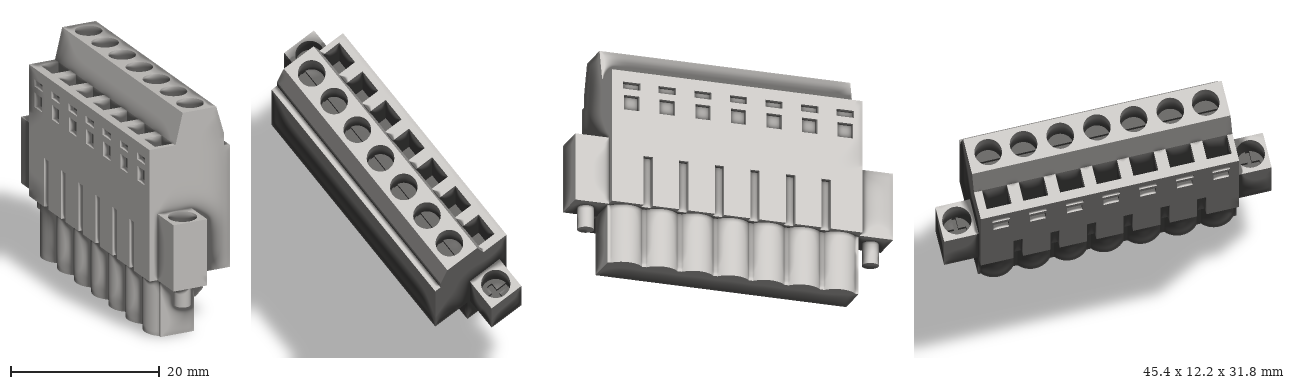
import cadquery as cq

POLES = 7
PITCH = 5.1

BODY_WIDTH = 35.8
BODY_DEPTH = 12.2
BODY_TOP = 23.5
FRONT_SHOULDER_Z = 19.0
FRONT_SLOPE_FOOT_Y = 3.95
FRONT_SLOPE_TOP_Y = 5.05
REAR_SLOPE_TOP_Y = 10.1
REAR_SLOPE_FOOT_Y = 11.3
REAR_SLOPE_FOOT_Z = 19.4
REAR_LEDGE_Z = 17.6

PLUG_HEIGHT = 8.3
PLUG_BACK_Y = 6.7
PLUG_WALL_Y = 1.7
LOBE_FRONT_Y = 0.7
LOBE_GAP = 0.6

GROOVE_WIDTH = 1.3
GROOVE_HEIGHT = 7.05
GROOVE_DEPTH = 0.85

OPENING_OFFSET_X = 0.2
OPENING_WIDTH = 3.45
OPENING_FRONT_Y = 1.22
OPENING_DEPTH = 9.05
WINDOW_DEPTH = 0.85
SLIT_WIDTH = 2.45
SLIT_BOTTOM_Z = 16.4
SLIT_HEIGHT = 1.0
WINDOW_WIDTH = 2.18
WINDOW_BOTTOM_Z = 13.43
WINDOW_HEIGHT = 2.1

LATCH_WIDTH = (POLES - 1) * PITCH
LATCH_BACK_Y = 10.15
LATCH_FRONT_Y = 8.35
LATCH_HOOK_Y = 7.95
LATCH_TIP_Y = 8.07
LATCH_HEEL_Y = 9.45
LATCH_NECK_DROP = 3.0
LATCH_HEEL_DROP = 3.5
LATCH_HOOK_DROP = 3.7
LATCH_TIP_DROP = 4.5

CLAMP_DIAMETER = 3.7
CLAMP_Y = (FRONT_SLOPE_TOP_Y + REAR_SLOPE_TOP_Y) / 2
END_CLAMP_INSET = 0.2
CLAMP_RECESS = 4.55
CLAMP_LENGTH = 4.55
CLAMP_SLOT_WIDTH = 0.7
CLAMP_SLOT_DEPTH = 0.7

OVERALL_WIDTH = 45.35
FLANGE_FRONT_Y = 1.22
FLANGE_DEPTH = 5.1
FLANGE_HEIGHT = 9.55
FLANGE_SCREW_X = 20.3
FLANGE_SCREW_Y = FLANGE_FRONT_Y + FLANGE_DEPTH / 2
HEAD_DIAMETER = 3.95
HEAD_RECESS = 4.55
HEAD_HEIGHT = 1.8
SHANK_DIAMETER = 2.25
SHANK_REACH = 3.15
LONG_SLOT_WIDTH = 0.6
SHORT_SLOT_WIDTH = 0.8
SHORT_SLOT_LENGTH = 2.8
CROSS_SLOT_DEPTH = 0.7

POLE_XS = [(i - (POLES - 1) / 2) * PITCH for i in range(POLES)]
GAP_XS = [x + PITCH / 2 for x in POLE_XS[:-1]]
CLAMP_XS = [POLE_XS[0] + END_CLAMP_INSET, *POLE_XS[1:-1], POLE_XS[-1] - END_CLAMP_INSET]
FLANGE_SCREW_XS = [-FLANGE_SCREW_X, FLANGE_SCREW_X]
CLAMP_TOP_Z = BODY_TOP - CLAMP_RECESS
HEAD_TOP_Z = FLANGE_HEIGHT - HEAD_RECESS
HEAD_BOTTOM_Z = HEAD_TOP_Z - HEAD_HEIGHT


def box(center_x, width, front_y, depth, bottom_z, height):
    """Box centred on center_x, growing back from front_y and up from bottom_z."""
    corner = cq.Vector(center_x - width / 2, front_y, bottom_z)
    return cq.Workplane(cq.Solid.makeBox(width, depth, height, corner))


def cylinder(x, y, diameter, bottom_z, height):
    """Upright cylinder standing on bottom_z."""
    return cq.Workplane(cq.Solid.makeCylinder(diameter / 2, height, cq.Vector(x, y, bottom_z)))


def profile_prism(points, width):
    """Closed (Y, Z) outline extruded along X, centred on X = 0."""
    return cq.Workplane("YZ").polyline(points).close().extrude(width / 2, both=True)


def make_shell():
    """Main block with its stepped and sloped top."""
    return profile_prism(
        [
            (0, 0),
            (0, FRONT_SHOULDER_Z),
            (FRONT_SLOPE_FOOT_Y, FRONT_SHOULDER_Z),
            (FRONT_SLOPE_TOP_Y, BODY_TOP),
            (REAR_SLOPE_TOP_Y, BODY_TOP),
            (REAR_SLOPE_FOOT_Y, REAR_SLOPE_FOOT_Z),
            (REAR_SLOPE_FOOT_Y, REAR_LEDGE_Z),
            (BODY_DEPTH, REAR_LEDGE_Z),
            (BODY_DEPTH, 0),
        ],
        BODY_WIDTH,
    )


def make_latch():
    """Hooked latch strip under the rear of the housing."""
    return profile_prism(
        [
            (LATCH_BACK_Y, 0),
            (LATCH_FRONT_Y, 0),
            (LATCH_FRONT_Y, -LATCH_NECK_DROP),
            (LATCH_HOOK_Y, -LATCH_HOOK_DROP),
            (LATCH_TIP_Y, -LATCH_TIP_DROP),
            (LATCH_FRONT_Y, -LATCH_TIP_DROP),
            (LATCH_HEEL_Y, -LATCH_HEEL_DROP),
        ],
        LATCH_WIDTH,
    )


def make_plug():
    """Plug block whose front bulges out in one shallow arc per pole."""
    half_width = BODY_WIDTH / 2
    half_chord = (PITCH - LOBE_GAP) / 2
    outline = cq.Workplane("XY").moveTo(-half_width, PLUG_BACK_Y).lineTo(-half_width, PLUG_WALL_Y)
    for x in POLE_XS:
        outline = outline.lineTo(x - half_chord, PLUG_WALL_Y)
        outline = outline.threePointArc((x, LOBE_FRONT_Y), (x + half_chord, PLUG_WALL_Y))
    outline = outline.lineTo(half_width, PLUG_WALL_Y).lineTo(half_width, PLUG_BACK_Y).close()
    return outline.extrude(-PLUG_HEIGHT)


def add_grooves(housing):
    """Slots up the front face between neighbouring poles."""
    for x in GAP_XS:
        housing = housing.cut(box(x, GROOVE_WIDTH, 0, GROOVE_DEPTH, 0, GROOVE_HEIGHT))
    return housing


def add_wire_openings(housing):
    """Square wire entry from above, with a slit and a window in the front face, for each pole."""
    opening_y_size = FRONT_SLOPE_FOOT_Y - OPENING_FRONT_Y
    opening_floor_z = FRONT_SHOULDER_Z - OPENING_DEPTH
    for pole_x in POLE_XS:
        x = pole_x + OPENING_OFFSET_X
        housing = housing.cut(
            box(x, OPENING_WIDTH, OPENING_FRONT_Y, opening_y_size, opening_floor_z, OPENING_DEPTH)
        )
        housing = housing.cut(box(x, SLIT_WIDTH, 0, WINDOW_DEPTH, SLIT_BOTTOM_Z, SLIT_HEIGHT))
        housing = housing.cut(box(x, WINDOW_WIDTH, 0, WINDOW_DEPTH, WINDOW_BOTTOM_Z, WINDOW_HEIGHT))
    return housing


def add_screw_holes(housing):
    """Blind holes for the clamping screws and stepped through holes for the flange screws."""
    clamp_hole_depth = CLAMP_RECESS + CLAMP_LENGTH
    for x in CLAMP_XS:
        hole = cylinder(x, CLAMP_Y, CLAMP_DIAMETER, BODY_TOP - clamp_hole_depth, clamp_hole_depth)
        housing = housing.cut(hole)

    counterbore_depth = FLANGE_HEIGHT - HEAD_BOTTOM_Z
    for x in FLANGE_SCREW_XS:
        housing = housing.cut(cylinder(x, FLANGE_SCREW_Y, HEAD_DIAMETER, HEAD_BOTTOM_Z, counterbore_depth))
        housing = housing.cut(cylinder(x, FLANGE_SCREW_Y, SHANK_DIAMETER, 0, FLANGE_HEIGHT))
    return housing


def make_housing():
    """Housing with its flanges, plug block, latch and all openings."""
    flanges = box(0, OVERALL_WIDTH, FLANGE_FRONT_Y, FLANGE_DEPTH, 0, FLANGE_HEIGHT)
    housing = make_shell().union(flanges).union(make_plug()).union(make_latch())

    housing = add_grooves(housing)
    housing = add_wire_openings(housing)
    return add_screw_holes(housing)


def make_clamp_screw(x):
    """Headless screw with a straight driver slot."""
    screw = cylinder(x, CLAMP_Y, CLAMP_DIAMETER, CLAMP_TOP_Z - CLAMP_LENGTH, CLAMP_LENGTH)
    slot = box(
        x, CLAMP_DIAMETER, CLAMP_Y - CLAMP_SLOT_WIDTH / 2, CLAMP_SLOT_WIDTH,
        CLAMP_TOP_Z - CLAMP_SLOT_DEPTH, CLAMP_SLOT_DEPTH,
    )
    return screw.cut(slot)


def make_flange_screw(x):
    """Screw with a flat head, a cross of two driver slots (the short one round-ended) and a plain shank."""
    head = cylinder(x, FLANGE_SCREW_Y, HEAD_DIAMETER, HEAD_BOTTOM_Z, HEAD_HEIGHT)
    shank = cylinder(x, FLANGE_SCREW_Y, SHANK_DIAMETER, -SHANK_REACH, SHANK_REACH + HEAD_BOTTOM_Z)
    slot_floor_z = HEAD_TOP_Z - CROSS_SLOT_DEPTH
    long_slot = box(
        x, LONG_SLOT_WIDTH, FLANGE_SCREW_Y - HEAD_DIAMETER / 2, HEAD_DIAMETER,
        slot_floor_z, CROSS_SLOT_DEPTH,
    )
    short_slot = box(
        x, SHORT_SLOT_LENGTH, FLANGE_SCREW_Y - SHORT_SLOT_WIDTH / 2, SHORT_SLOT_WIDTH,
        slot_floor_z, CROSS_SLOT_DEPTH,
    )
    short_slot = short_slot.intersect(
        cylinder(x, FLANGE_SCREW_Y, SHORT_SLOT_LENGTH, slot_floor_z, CROSS_SLOT_DEPTH)
    )
    return head.union(shank).cut(long_slot).cut(short_slot)


housing = make_housing()
clamp_screws = [make_clamp_screw(x) for x in CLAMP_XS]
flange_screws = [make_flange_screw(x) for x in FLANGE_SCREW_XS]

result = cq.Compound.makeCompound(
    [housing.val(), *[s.val() for s in clamp_screws], *[s.val() for s in flange_screws]]
)